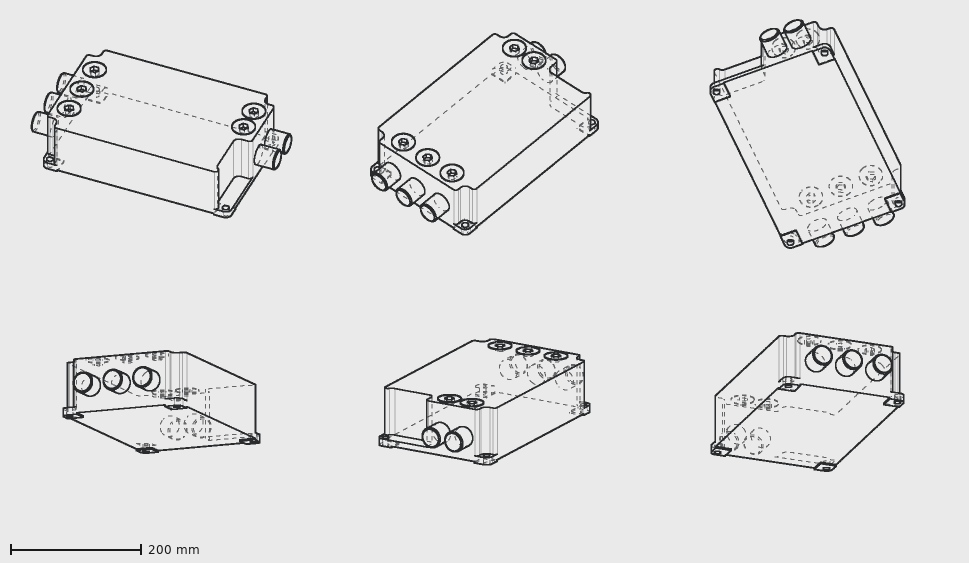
import cadquery as cq
import math

LENGTH_OVERALL = 378.0
CASE_LENGTH = 313.5
CASE_WIDTH = 200.0
OVERALL_HEIGHT = 88.0
PLUG_RISE = 1.0
CASE_TOP = OVERALL_HEIGHT - PLUG_RISE
HALF_LENGTH = CASE_LENGTH / 2
HALF_WIDTH = CASE_WIDTH / 2

FOOT_SIZE = 26.0
FOOT_HEIGHT = 2.3
LUG_TOP = 11.7
LUG_RADIUS = 10.0
MOUNT_HOLE_DIAMETER = 10.2
RECESS_SIZE = 20.0
RECESS_EDGE_RADIUS = 5.0

LONG_RECESS_DEPTH = 26.0
LONG_RECESS_LENGTH = 87.0
LONG_RECESS_RADIUS = 9.0

STUB_DIAMETER = 32.0
STUB_CHAMFER = 2.0
STUB_LENGTH = (LENGTH_OVERALL - CASE_LENGTH) / 2
LEFT_STUB_YS = (-50.0, 0, 50.0)
LEFT_STUB_Z = 42.5
RIGHT_STUB_YS = (15.0, 55.0)
RIGHT_STUB_Z = 39.7

PLUG_DIAMETER = 36.3
PLUG_X = 132.0
SOCKET_ACROSS_FLATS = 13.0
SOCKET_DEPTH = 7.5


def make_case():
    """Rounded block standing on four low corner feet."""
    block = (
        cq.Workplane("XY")
        .box(CASE_LENGTH, CASE_WIDTH, CASE_TOP, centered=(True, True, False))
        .edges("|Z")
        .fillet(LUG_RADIUS)
    )
    clearance_along_x = cq.Workplane("XY").box(
        CASE_LENGTH, CASE_WIDTH - 2 * FOOT_SIZE, FOOT_HEIGHT, centered=(True, True, False)
    )
    clearance_along_y = cq.Workplane("XY").box(
        CASE_LENGTH - 2 * FOOT_SIZE, CASE_WIDTH, FOOT_HEIGHT, centered=(True, True, False)
    )
    return block.cut(clearance_along_x).cut(clearance_along_y)


def arc_point(centre, radius, angle):
    """Point on a circle at an angle in radians."""
    return (centre[0] + radius * math.cos(angle), centre[1] + radius * math.sin(angle))


def make_recess(side_x, side_y, depth, length, root_radius):
    """Vertical recess in the corner on the given sides, cut from the case top down to the lug.

    The outline is laid out from the corner inwards, depth along X and length along Y.
    It widens from RECESS_SIZE to depth through a nose arc tangent to a root arc.
    """
    def place(inward):
        return (side_x * (HALF_LENGTH - inward[0]), side_y * (HALF_WIDTH - inward[1]))

    edge = RECESS_EDGE_RADIUS
    widening = depth - RECESS_SIZE
    turn = math.acos(1 - widening / (edge + root_radius))
    nose = (RECESS_SIZE + edge, edge)
    near_root = (depth - root_radius, edge + (edge + root_radius) * math.sin(turn))
    far_root = (depth - root_radius, length - root_radius)
    far_edge = (edge, length + edge)

    outline = (
        cq.Workplane("XY", origin=(0, 0, LUG_TOP))
        .moveTo(*place((0, 0)))
        .lineTo(*place((nose[0], 0)))
        .threePointArc(
            place(arc_point(nose, edge, 5 * math.pi / 4 - turn / 2)),
            place(arc_point(nose, edge, math.pi - turn)),
        )
    )
    if widening > 0:
        outline = outline.threePointArc(
            place(arc_point(near_root, root_radius, -turn / 2)),
            place(arc_point(near_root, root_radius, 0)),
        )
    outline = (
        outline.lineTo(*place((depth, far_root[1])))
        .threePointArc(
            place(arc_point(far_root, root_radius, math.pi / 4)),
            place((far_root[0], length)),
        )
        .lineTo(*place((edge, length)))
        .threePointArc(
            place(arc_point(far_edge, edge, 5 * math.pi / 4)),
            place((0, far_edge[1])),
        )
        .close()
    )
    return outline.extrude(CASE_TOP - LUG_TOP)


def make_stub(side_x, y, z):
    """Connector stub with a chamfered outer rim."""
    return (
        cq.Workplane("YZ", origin=(side_x * HALF_LENGTH, y, z))
        .circle(STUB_DIAMETER / 2)
        .extrude(side_x * STUB_LENGTH)
        .faces(">X" if side_x > 0 else "<X")
        .chamfer(STUB_CHAMFER)
    )


def make_plug(x, y):
    """Low round plug head on the case top."""
    return cq.Workplane("XY", origin=(x, y, CASE_TOP)).circle(PLUG_DIAMETER / 2).extrude(PLUG_RISE)


def make_socket(x, y):
    """Hexagon socket sunk into a plug."""
    corner_diameter = SOCKET_ACROSS_FLATS / math.cos(math.pi / 6)
    plug_face = cq.Workplane("XY", origin=(x, y, OVERALL_HEIGHT))
    return plug_face.polygon(6, corner_diameter).extrude(-SOCKET_DEPTH)


result = make_case()

for side_x in (-1, 1):
    for side_y in (-1, 1):
        if (side_x, side_y) == (1, -1):
            recess = make_recess(side_x, side_y, LONG_RECESS_DEPTH, LONG_RECESS_LENGTH, LONG_RECESS_RADIUS)
        else:
            recess = make_recess(side_x, side_y, RECESS_SIZE, RECESS_SIZE, LUG_RADIUS)
        result = result.cut(recess)

mount_holes = (
    cq.Workplane("XY")
    .rect(CASE_LENGTH - 2 * LUG_RADIUS, CASE_WIDTH - 2 * LUG_RADIUS, forConstruction=True)
    .vertices()
    .circle(MOUNT_HOLE_DIAMETER / 2)
    .extrude(LUG_TOP)
)
result = result.cut(mount_holes)

for side_x, stub_ys, stub_z in ((-1, LEFT_STUB_YS, LEFT_STUB_Z), (1, RIGHT_STUB_YS, RIGHT_STUB_Z)):
    for y in stub_ys:
        result = result.union(make_stub(side_x, y, stub_z))
        result = result.union(make_plug(side_x * PLUG_X, y))
        result = result.cut(make_socket(side_x * PLUG_X, y))